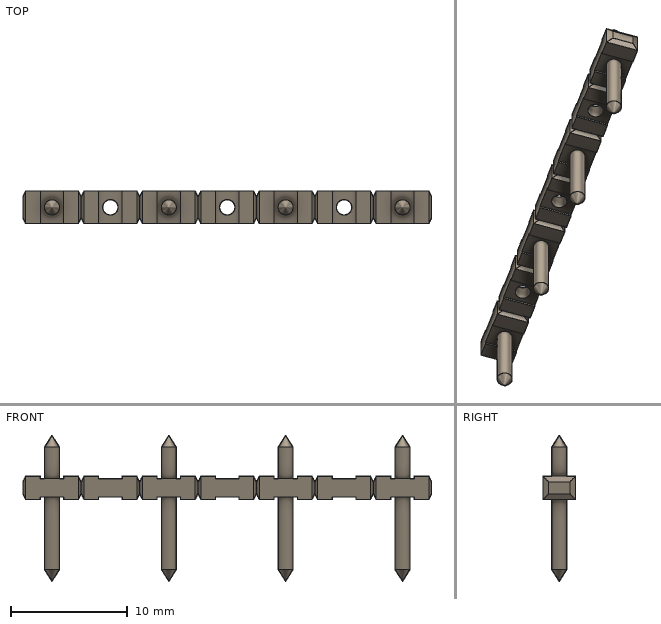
import cadquery as cq

strip_length = 35.0
block_count = 7
block_pitch = strip_length / block_count
block_width = 2.8
block_height = 2.0

end_depth = 0.25
end_inset = 0.5

recess_length = 2.0
recess_depth = 0.2

pin_diameter = 1.3
pin_above_block = 3.5
pin_below_block = 7.0
pin_tip_length = 1.0


def tapered_end(direction):
    """Frustum at one end of a block, narrowing toward direction (+1 or -1) along X."""
    full_section_x = direction * (block_pitch / 2 - end_depth)
    return (
        cq.Workplane("YZ", origin=(full_section_x, 0, 0))
        .rect(block_width, block_height)
        .workplane(offset=direction * end_depth)
        .rect(block_width - 2 * end_inset, block_height - 2 * end_inset)
        .loft(ruled=True)
    )


def make_block():
    """Plain block centred on the origin, with tapered ends and two recesses."""
    block = cq.Workplane("XY").box(block_pitch - 2 * end_depth, block_width, block_height)
    for direction in (-1, 1):
        block = block.union(tapered_end(direction))
    for side in (-1, 1):
        recess = cq.Workplane("XY").box(recess_length, block_width, 2 * recess_depth)
        block = block.cut(recess.translate((0, 0, side * block_height / 2)))
    return block


def make_pin():
    """Round pin on the Z axis with a sharp conical tip at each end."""
    radius = pin_diameter / 2
    top = block_height / 2 + pin_above_block
    bottom = -block_height / 2 - pin_below_block
    half_profile = [
        (0, bottom),
        (radius, bottom + pin_tip_length),
        (radius, top - pin_tip_length),
        (0, top),
    ]
    return cq.Workplane("XZ").polyline(half_profile).close().revolve(360, (0, 0), (0, 1))


def make_hole():
    """Cutter for the open hole through a block without a pin."""
    return cq.Workplane("XY").circle(pin_diameter / 2).extrude(block_height, both=True)


block = make_block()
pinned_block = block.union(make_pin())
open_block = block.cut(make_hole())

result = cq.Workplane("XY")
for index in range(block_count):
    block_x = (index - (block_count - 1) / 2) * block_pitch
    unit = pinned_block if index % 2 == 0 else open_block
    result = result.union(unit.translate((block_x, 0, 0)))